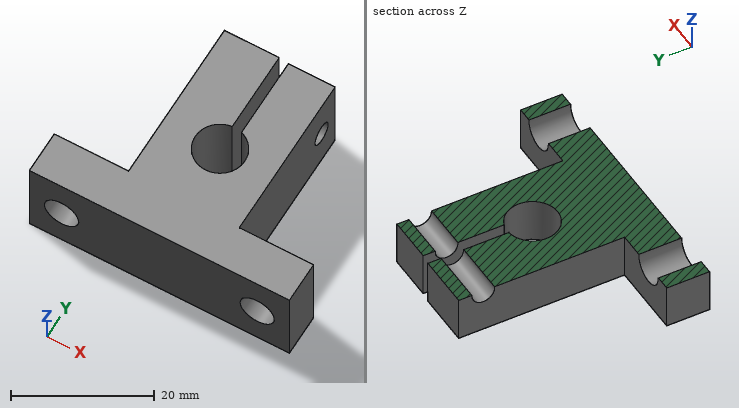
import cadquery as cq

flange_width = 42.0
thickness = 14.3

left_ear_depth = 6.9
right_ear_depth = 6.7

block_width = 18.0
left_arm_end = 33.45
right_arm_end = 33.25

bore_diameter = 8.0
bore_x = 0.2
bore_y = 16.45
slot_width = 1.6
slot_x = 0.65

mount_hole_z = 7.05
clamp_hole_z = 7.0
mount_hole_diameter = 5.5
mount_hole_spacing = 31.6
clamp_hole_diameter = 3.6
clamp_hole_y = 29.5


def make_body():
    """Extrude the T-shaped outline, centred on X with the flange face at Y = 0."""
    half_flange = flange_width / 2
    half_block = block_width / 2
    outline = [
        (-half_flange, 0),
        (half_flange, 0),
        (half_flange, right_ear_depth),
        (half_block, right_ear_depth),
        (half_block, right_arm_end),
        (slot_x, right_arm_end),
        (slot_x, left_arm_end),
        (-half_block, left_arm_end),
        (-half_block, left_ear_depth),
        (-half_flange, left_ear_depth),
    ]
    return cq.Workplane("XY").polyline(outline).close().extrude(thickness)


def make_shaft_clamp():
    """Shaft bore along Z, joined to the slot that runs out between the arms."""
    bore = cq.Workplane("XY").center(bore_x, bore_y).circle(bore_diameter / 2).extrude(thickness)
    slot_length = left_arm_end - bore_y
    slot = (
        cq.Workplane("XY")
        .center(slot_x, bore_y + slot_length / 2)
        .rect(slot_width, slot_length)
        .extrude(thickness)
    )
    return bore.union(slot)


def make_mount_holes():
    """Pair of holes along Y, one through each flange ear."""
    half_spacing = mount_hole_spacing / 2
    return (
        cq.Workplane("XZ")
        .pushPoints([(-half_spacing, mount_hole_z), (half_spacing, mount_hole_z)])
        .circle(mount_hole_diameter / 2)
        .extrude(-max(left_ear_depth, right_ear_depth))
    )


def make_clamp_hole():
    """Clamp screw hole along X through both arms."""
    return (
        cq.Workplane("YZ", origin=(-block_width / 2, 0, 0))
        .center(clamp_hole_y, clamp_hole_z)
        .circle(clamp_hole_diameter / 2)
        .extrude(block_width)
    )


result = make_body().cut(make_shaft_clamp()).cut(make_mount_holes()).cut(make_clamp_hole())